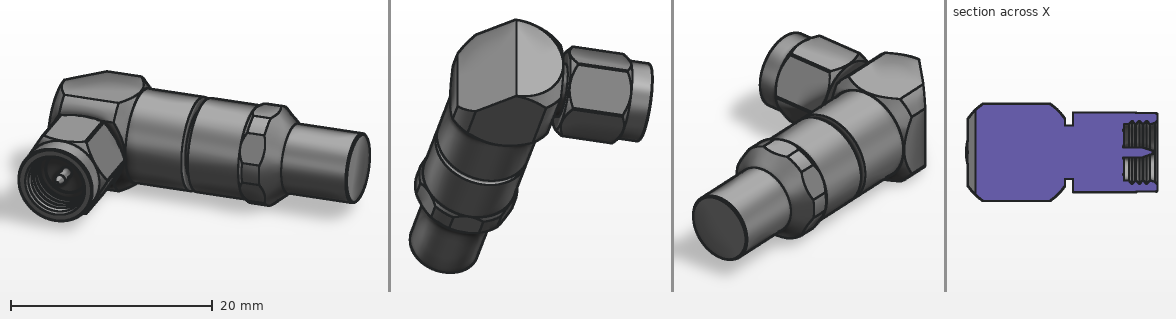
import cadquery as cq
import math


block_width = 9.65
block_half_length = 4.08
block_corner_radius = 5.86
block_turn_radius = 4.78
block_turn_length = 1.21

barrel_radius = 4.73
groove_radius = 3.5
groove_start = 9.95
groove_end = 10.64
clamp_start = 15.94
tail_start = 20.02
barrel_end = 26.91
tail_radius = 3.5
tail_chamfer = 0.13

clamp_flats = 9.525
clamp_radius = 5.0
clamp_chamfer_length = 0.46
clamp_turn_end = 18.22

neck_radius = 2.67
nut_start = 5.58
nut_hex_end = 11.87
nut_end = 13.97
nut_flats = 7.9
nut_corner_radius = 4.51
collar_radius = 3.91
collar_chamfer = 0.12

socket_depth = 3.3
mouth_radius = 3.15
lead_in_radius = 2.9
thread_minor_radius = 2.78
thread_depth = 0.33
thread_pitch = 0.72
thread_count = 4
thread_land = 0.1

dielectric_radius = 2.15
floor_ring_width = 0.08
floor_ring_depth = 0.08
pin_radius = 0.52
pin_tip_radius = 0.18
pin_cone_length = 1.0
pin_setback = 0.47


def turned_on_x(profile):
    """Revolve (station, radius) points about the X axis; the axis closes the outline."""
    outline = [(profile[0][0], 0)] + profile + [(profile[-1][0], 0)]
    return cq.Workplane("XY").polyline(outline).close().revolve(360, (0, 0, 0), (1, 0, 0))


def turned_on_nut_axis(profile):
    """Revolve (station, radius) points about the Y axis, stations running along -Y."""
    outline = [(0, -profile[0][0])]
    outline += [(radius, -station) for station, radius in profile]
    outline += [(0, -profile[-1][0])]
    return cq.Workplane("XY").polyline(outline).close().revolve(360, (0, 0, 0), (0, 1, 0))


def hexagon(workplane, across_flats, length):
    corner_diameter = across_flats / math.cos(math.radians(30))
    return workplane.polygon(6, corner_diameter).extrude(length)


def elbow_block():
    """Square bar with turned edges and ends, one corner mitred at 45 degrees."""
    bar = cq.Workplane("XY").box(2 * block_half_length, block_width, block_width)
    half_width = block_width / 2
    envelope = turned_on_x([
        (-block_half_length, block_turn_radius),
        (-block_half_length + block_turn_length, block_corner_radius),
        (block_half_length - block_turn_length, block_corner_radius),
        (block_half_length, block_turn_radius),
    ])

    mitre = (
        cq.Workplane("XY")
        .polyline([
            (-block_half_length, 0),
            (-block_half_length, half_width),
            (half_width - block_half_length, half_width),
        ])
        .close()
        .extrude(half_width, both=True)
    )
    return bar.intersect(envelope).cut(mitre)


def cable_barrel():
    """Grooved barrel and the plain tail."""
    return turned_on_x([
        (block_half_length / 2, barrel_radius),
        (groove_start, barrel_radius),
        (groove_start, groove_radius),
        (groove_end, groove_radius),
        (groove_end, barrel_radius),
        (clamp_start, barrel_radius),
        (clamp_start, tail_radius),
        (barrel_end - tail_chamfer, tail_radius),
        (barrel_end, tail_radius - tail_chamfer),
    ])


def clamp_nut():
    """Hexagon with two flats facing +Z and -Z, trimmed by a turned envelope."""
    hex_plane = cq.Workplane("YZ", origin=(clamp_start, 0, 0))
    blank = hexagon(hex_plane, clamp_flats, tail_start - clamp_start)
    envelope = turned_on_x([
        (clamp_start, clamp_flats / 2),
        (clamp_start + clamp_chamfer_length, clamp_radius),
        (clamp_turn_end, clamp_radius),
        (tail_start, tail_radius),
    ])
    return blank.intersect(envelope)


def coupling_nut():
    """Neck, hexagon with both ends turned, and the round collar."""
    blank = hexagon(cq.Workplane("XZ", origin=(0, -nut_start, 0)), nut_flats, nut_hex_end - nut_start)
    turn_length = nut_corner_radius - collar_radius
    envelope = turned_on_nut_axis([
        (nut_start, collar_radius),
        (nut_start + turn_length, nut_corner_radius),
        (nut_hex_end - turn_length, nut_corner_radius),
        (nut_hex_end, collar_radius),
    ])
    neck = turned_on_nut_axis([(0, neck_radius), (nut_start, neck_radius)])
    collar = turned_on_nut_axis([
        (nut_start, collar_radius - collar_chamfer),
        (nut_hex_end, collar_radius - collar_chamfer),
        (nut_hex_end, collar_radius),
        (nut_end - collar_chamfer, collar_radius),
        (nut_end, collar_radius - collar_chamfer),
    ])
    return blank.intersect(envelope).union(collar).union(neck)


def threaded_socket():
    """Void inside the coupling nut: bore, mouth chamfer and ring-shaped V threads."""
    floor = nut_end - socket_depth
    root_radius = thread_minor_radius + thread_depth
    mouth_chamfer = mouth_radius - lead_in_radius
    profile = [(nut_end, mouth_radius), (nut_end - mouth_chamfer, lead_in_radius)]
    for index in range(thread_count):
        crest = nut_end - (index + 1) * thread_pitch
        profile.append((crest + thread_land / 2, thread_minor_radius))
        profile.append((crest - thread_land / 2, thread_minor_radius))
        if index < thread_count - 1:
            profile.append((crest - thread_pitch / 2, root_radius))
    profile.append((floor, thread_minor_radius))
    return turned_on_nut_axis(profile)


def floor_ring(inner_radius):
    """Shallow ring groove in the socket floor."""
    floor_plane = cq.Workplane("XZ", origin=(0, -(nut_end - socket_depth), 0))
    ring = floor_plane.circle(inner_radius + floor_ring_width).circle(inner_radius)
    return ring.extrude(-floor_ring_depth)


def centre_pin():
    """Contact pin with a tapered tip, standing on the socket floor."""
    tip = nut_end - pin_setback
    return turned_on_nut_axis([
        (nut_start, pin_radius),
        (tip - pin_cone_length, pin_radius),
        (tip, pin_tip_radius),
    ])


result = elbow_block().union(cable_barrel()).union(clamp_nut()).union(coupling_nut())
result = result.cut(threaded_socket()).union(centre_pin())
result = result.cut(floor_ring(dielectric_radius)).cut(floor_ring(pin_radius))